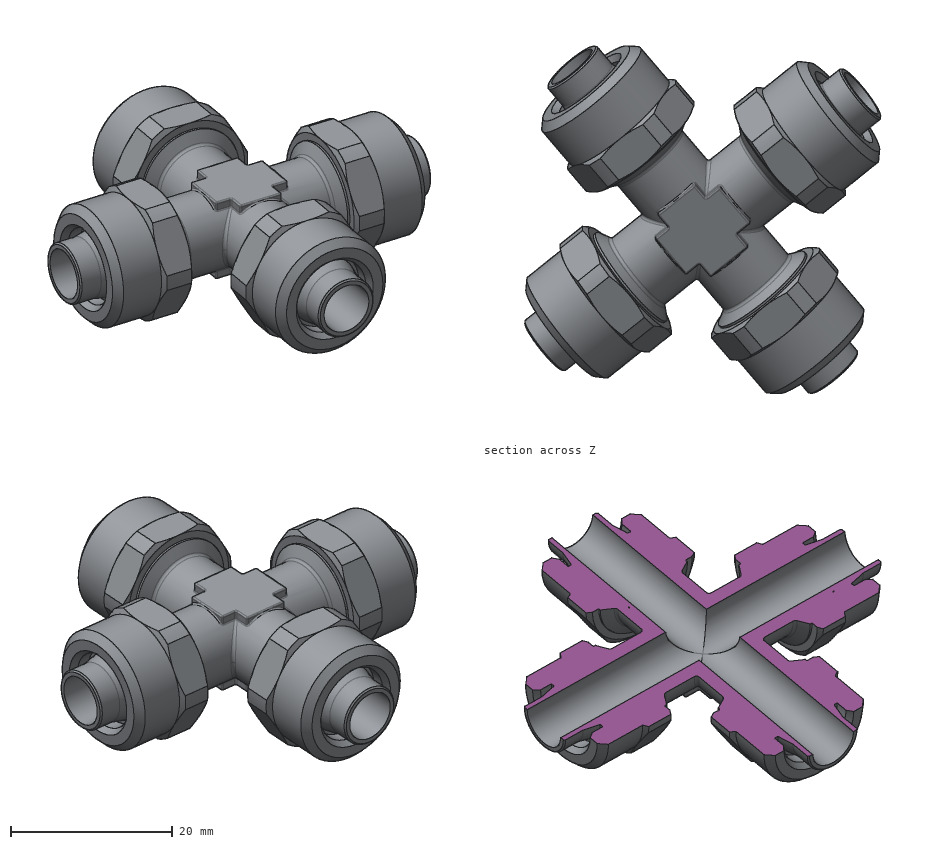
import cadquery as cq
import math


arm_radius = 5.25
bore_radius = 3.25
crotch_fillet = 0.4

pad_height = 5.5
pad_length = 10.4
pad_width = 6.0
pad_fillet = 0.2

shoulder_radius = 7.0
shoulder_position = 11.5
shoulder_angle = 60.0
shoulder_fillet = 0.5

hex_across_flats = 16.0
hex_corner_radius = 8.7
hex_start = 11.8
hex_end = 16.2
hex_chamfer_length = 0.4
nut_radius = hex_across_flats / 2
nut_end = 22.7
nut_chamfer = 1.0
nut_mouth_radius = 5.6
nut_bore_radius = 5.0
nut_countersink_depth = 0.8
nut_bore_depth = 2.5

stem_end = 25.5
stem_radius = 4.0
stem_cone_start = 22.5
stem_root_radius = 4.55
stem_chamfer = 0.2

crotch_top = math.sqrt(arm_radius**2 - (pad_width / 2 + crotch_fillet) ** 2)
flare_angle = math.radians(shoulder_angle)
shoulder_start = shoulder_position - (shoulder_radius - arm_radius) / math.tan(flare_angle)
root_tangent = shoulder_fillet * math.tan(flare_angle / 2)
arm_end = shoulder_start - root_tangent
nut_floor = nut_end - nut_bore_depth
hex_corner_diameter = hex_across_flats / math.cos(math.pi / 6)
arm_angles = [90 * index for index in range(4)]


def revolve_about_x(points):
    """Solid of revolution about X from a closed outline of (axial, radius) points."""
    return cq.Workplane("XY").polyline(points).close().revolve(360, (0, 0, 0), (1, 0, 0))


def on_all_arms(feature):
    """Union of a feature on the +X arm repeated on the four arms."""
    copies = cq.Workplane("XY")
    for angle in arm_angles:
        copies = copies.union(feature.rotate((0, 0, 0), (0, 0, 1), angle))
    return copies


def make_pad_block():
    """Plus-shaped block with rounded corners whose ends stand proud of the arms."""
    thickness = 2 * pad_height
    along_x = cq.Workplane("XY").box(pad_length, pad_width, thickness)
    along_y = cq.Workplane("XY").box(pad_width, pad_length, thickness)
    return along_x.union(along_y).edges("|Z").fillet(pad_fillet)


def zone_between(low, high):
    """Selector for edges near the crossing whose centres lie between two heights."""
    return cq.selectors.BoxSelector((-arm_radius, -arm_radius, low), (arm_radius, arm_radius, high))


def make_body():
    """Crossing arms with blended crotches and a rounded pad on top and bottom."""
    arm = cq.Workplane("YZ").circle(arm_radius).extrude(arm_end)
    body = on_all_arms(arm).union(make_pad_block())

    crotch_zone = zone_between(-crotch_top, crotch_top)
    body = body.edges("%ELLIPSE").edges(crotch_zone).fillet(crotch_fillet)

    upper_foot = zone_between(crotch_top, arm_radius)
    lower_foot = zone_between(-arm_radius, -crotch_top)
    body = body.edges("not %LINE").edges(upper_foot + lower_foot).fillet(pad_fillet)

    return body.faces("<Z or >Z").edges().fillet(pad_fillet)


def make_shoulder():
    """Flare from the arm to the nut, with a rounded root where it leaves the arm."""
    root_end = (
        shoulder_start + root_tangent * math.cos(flare_angle),
        arm_radius + root_tangent * math.sin(flare_angle),
    )
    root_middle = (
        arm_end + shoulder_fillet * math.sin(flare_angle / 2),
        arm_radius + shoulder_fillet * (1 - math.cos(flare_angle / 2)),
    )
    return (
        cq.Workplane("XY")
        .moveTo(arm_end, 0)
        .lineTo(arm_end, arm_radius)
        .threePointArc(root_middle, root_end)
        .lineTo(shoulder_position, shoulder_radius)
        .lineTo(hex_start, shoulder_radius)
        .lineTo(hex_start, 0)
        .close()
        .revolve(360, (0, 0, 0), (1, 0, 0))
    )


def make_hex():
    """Hexagon with flats facing up and down, rounded corners and chamfered ends."""
    prism = (
        cq.Workplane("YZ", origin=(hex_start, 0, 0))
        .polygon(6, hex_corner_diameter)
        .extrude(hex_end - hex_start)
    )
    envelope = revolve_about_x([
        (hex_start, 0),
        (hex_start, nut_radius),
        (hex_start + hex_chamfer_length, hex_corner_radius),
        (hex_end - hex_chamfer_length, hex_corner_radius),
        (hex_end, nut_radius),
        (hex_end, 0),
    ])
    return prism.intersect(envelope)


def make_collar():
    """Round end of the nut, with its countersunk mouth around the stem."""
    return revolve_about_x([
        (hex_end, 0),
        (hex_end, nut_radius),
        (nut_end - nut_chamfer, nut_radius),
        (nut_end, nut_radius - nut_chamfer),
        (nut_end, nut_mouth_radius),
        (nut_end - nut_countersink_depth, nut_bore_radius),
        (nut_floor, nut_bore_radius),
        (nut_floor, 0),
    ])


def make_stem():
    """Hose stem with a tapered root inside the nut and a chamfered tip."""
    return revolve_about_x([
        (nut_floor, 0),
        (nut_floor, stem_root_radius),
        (stem_cone_start, stem_radius),
        (stem_end - stem_chamfer, stem_radius),
        (stem_end, stem_radius - stem_chamfer),
        (stem_end, 0),
    ])


def cut_bores(solid):
    """Two through bores that cross at the centre."""
    bore = cq.Workplane("YZ").circle(bore_radius).extrude(stem_end, both=True)
    return solid.cut(bore).cut(bore.rotate((0, 0, 0), (0, 0, 1), 90))


arm_fittings = make_shoulder().union(make_hex()).union(make_collar()).union(make_stem())
result = cut_bores(make_body().union(on_all_arms(arm_fittings)))